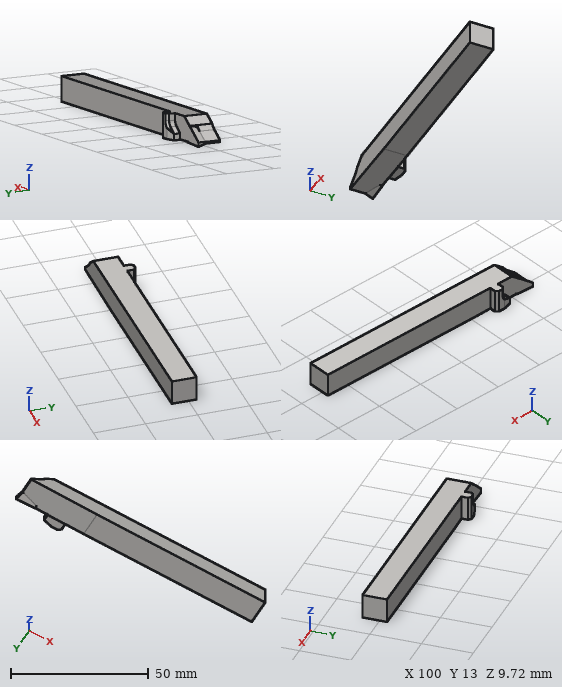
import cadquery as cq
import math


LENGTH = 100.0
SHANK_WIDTH = 9.525
SHANK_HEIGHT = 9.5

SLOPE_ANGLE = 38.0
SLOPE_START_X = 10.35
NOSE_X = 0.7

POCKET_BACK_X = 6.5
POCKET_RECESS = 0.7
FLOOR_END_X = 4.85

RELIEF_END_X = 28.6
RELIEF_RISE = 0.57

TIP_DEPTH = 9.72
BLADE_INNER_Y = 6.25
BLADE_OUTER_Y = SHANK_WIDTH
BLADE_END_X = 8.0
RAKE_ANGLE = 13.2
NOSE_SKEW_ANGLE = 11.5
UNDERSIDE_TILT_ANGLE = 12.4
UNDERSIDE_RISE_ANGLE = 3.0

LUG_OUTER_Y = 13.03
LUG_WALL_X = 17.0
LUG_BACK_X = 20.85
LUG_FRONT_X = 13.35
LUG_BOTTOM_DEPTH = 9.3
LUG_STEP_DEPTH = 6.9
LUG_SLOPE_ANGLE = 40.0
LUG_FILLET = 2.7
LUG_CHAMFER = 1.0
LUG_SLANT_START_Y = 12.0

SELECT_MARGIN = 0.1


def tangent(angle):
    """Tangent of an angle in degrees."""
    return math.tan(math.radians(angle))


def slope_z(x):
    """Height of the sloping front end at x."""
    return (x - SLOPE_START_X) * tangent(SLOPE_ANGLE)


def floor_z(x):
    """Height of the pocket floor plane at x."""
    return slope_z(x) - POCKET_RECESS


def prism_along_y(outline, y_from, y_to):
    """Close an XZ outline and extrude it from y_from to y_to."""
    return outline.close().extrude(y_from - y_to).translate((0, y_from, 0))


def make_body():
    """Shank with its sloping end, curved pocket back and relieved underside."""
    outline = (
        cq.Workplane("XZ")
        .moveTo(LENGTH, 0)
        .lineTo(LENGTH, -SHANK_HEIGHT)
        .lineTo(RELIEF_END_X, -SHANK_HEIGHT)
        .lineTo(NOSE_X, RELIEF_RISE - SHANK_HEIGHT)
        .lineTo(NOSE_X, floor_z(NOSE_X))
        .lineTo(FLOOR_END_X, floor_z(FLOOR_END_X))
        .tangentArcPoint((POCKET_BACK_X, slope_z(POCKET_BACK_X)), relative=False)
        .lineTo(SLOPE_START_X, 0)
    )
    return prism_along_y(outline, 0, SHANK_WIDTH)


def make_blade_clearance():
    """Space above the pocket floor where the blade replaces the curved back."""
    outline = (
        cq.Workplane("XZ")
        .moveTo(NOSE_X, floor_z(NOSE_X))
        .lineTo(POCKET_BACK_X, floor_z(POCKET_BACK_X))
        .lineTo(POCKET_BACK_X, 0)
        .lineTo(NOSE_X, 0)
    )
    return prism_along_y(outline, BLADE_INNER_Y, BLADE_OUTER_Y)


def blade_section(y, front_x, rake_offset, underside_offset):
    """XZ section of the blade at y, its top and underside raised by the given offsets."""

    def top(x):
        return cq.Vector(x, y, floor_z(x) + rake_offset)

    def underside(x):
        return cq.Vector(x, y, x * tangent(UNDERSIDE_RISE_ANGLE) - TIP_DEPTH + underside_offset)

    corners = [
        underside(front_x),
        underside(BLADE_END_X),
        cq.Vector(BLADE_END_X, y, top(POCKET_BACK_X).z),
        top(POCKET_BACK_X),
        top(front_x),
    ]
    return cq.Wire.makePolygon(corners, close=True)


def make_blade():
    """Cutting blade: raked top, skewed nose and tilted underside."""
    width = BLADE_OUTER_Y - BLADE_INNER_Y
    skew = width * tangent(NOSE_SKEW_ANGLE)
    rake_rise = width * tangent(RAKE_ANGLE)
    tilt_rise = width * tangent(UNDERSIDE_TILT_ANGLE)
    inner = blade_section(BLADE_INNER_Y, skew, 0, tilt_rise)
    outer = blade_section(BLADE_OUTER_Y, 0, rake_rise, 0)
    return cq.Workplane(cq.Solid.makeLoft([inner, outer], True))


def make_lug():
    """Side lug with a filleted front, chamfered outer edges and a slanted outer front."""
    slope_top_z = (LUG_WALL_X - LUG_FRONT_X) * tangent(LUG_SLOPE_ANGLE) - LUG_STEP_DEPTH
    outline = (
        cq.Workplane("XZ")
        .moveTo(LUG_BACK_X, 0)
        .lineTo(LUG_WALL_X, 0)
        .lineTo(LUG_WALL_X, slope_top_z)
        .lineTo(LUG_FRONT_X, -LUG_STEP_DEPTH)
        .lineTo(LUG_FRONT_X, -LUG_BOTTOM_DEPTH)
        .lineTo(LUG_BACK_X, -LUG_BOTTOM_DEPTH)
    )
    lug = prism_along_y(outline, SHANK_WIDTH, LUG_OUTER_Y)

    inner_corner = cq.selectors.BoxSelector(
        (LUG_WALL_X - SELECT_MARGIN, SHANK_WIDTH, slope_top_z - SELECT_MARGIN),
        (LUG_WALL_X + SELECT_MARGIN, LUG_OUTER_Y, slope_top_z + SELECT_MARGIN),
    )
    lug = lug.edges(inner_corner).fillet(LUG_FILLET)

    chamfered = cq.selectors.BoxSelector(
        (LUG_FRONT_X + SELECT_MARGIN, SHANK_WIDTH, -LUG_STEP_DEPTH),
        (LUG_BACK_X + SELECT_MARGIN, LUG_OUTER_Y + SELECT_MARGIN, -SELECT_MARGIN),
    )
    lug = lug.faces(">Y").edges(chamfered).chamfer(LUG_CHAMFER)

    slant = (
        cq.Workplane("XY")
        .moveTo(LUG_FRONT_X, LUG_SLANT_START_Y)
        .lineTo(LUG_WALL_X, LUG_OUTER_Y)
        .lineTo(LUG_FRONT_X, LUG_OUTER_Y)
        .close()
        .extrude(-LUG_BOTTOM_DEPTH)
    )
    return lug.cut(slant)


result = make_body().cut(make_blade_clearance()).union(make_blade()).union(make_lug())